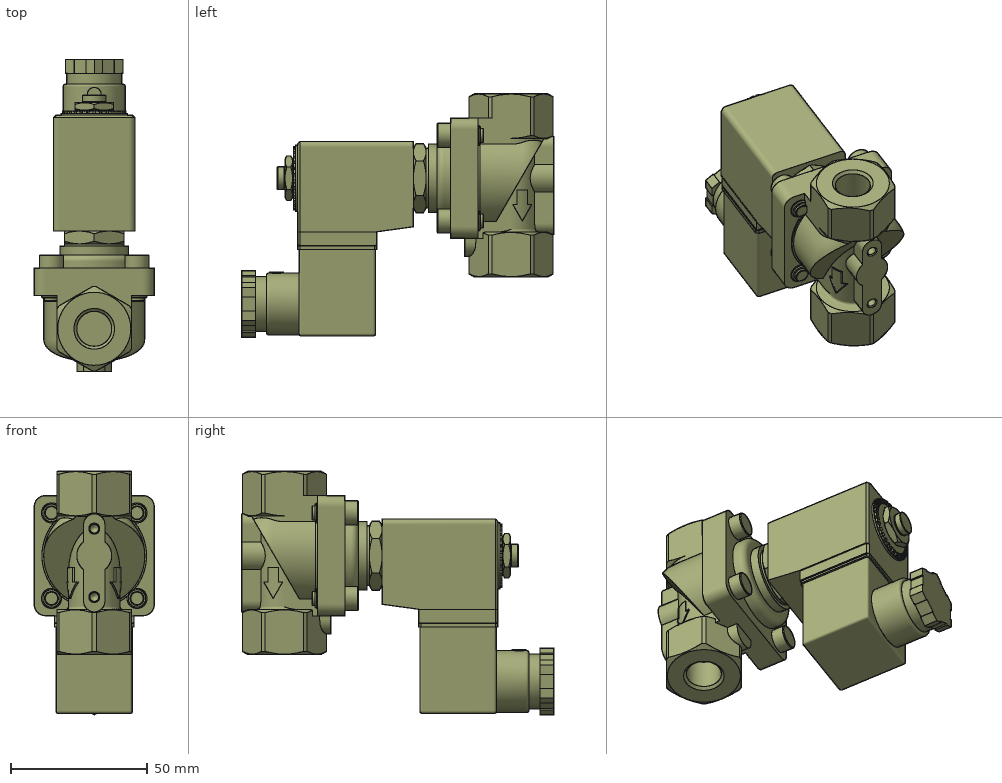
import cadquery as cq
import math


port_center_z = -2.6
port_half_length = 33.6
port_hex_height = 16.6
port_flats = 27.5
port_turned_diameter = 30.9
port_face_diameter = 26.8
port_bore_diameter = 12.8
port_mouth_diameter = 14.9
port_mouth_depth = 1.0
port_bore_depth = 13.7
port_top_z = port_center_z + port_half_length
port_bottom_z = port_center_z - port_half_length

flange_size = 44.0
flange_front_y = 12.1
flange_back_y = 22.2
flange_corner_radius = 4.1
screw_pitch = 31.3
screw_boss_diameter = 8.9
screw_boss_chamfer = 0.3
screw_seat_diameter = 7.3
screw_seat_height = 0.9
screw_seat_chamfer = 0.5
screw_tip_diameter = 5.0
screw_tip_height = 2.1
screw_tip_chamfer = 0.2
cover_diameter = 34.3
cover_back_y = 27.1
cover_fillet = 2.4

chamber_diameter = 37.0
chamber_front_y = -13.6
chamber_fillet = 9.1
lip_diameter = 38.3
lip_width = 0.7
slope_angle = 60.0
slope_y = -3.7
lower_pipe_width = 19.0
lower_pipe_fillet = 0.9
lug_radius = 5.0
lug_center_z = -23.7
lug_back_y = 17.0

strap_front_y = -15.7
strap_width = 7.8
strap_length = 35.9
strap_hub_diameter = 12.8
strap_hole_pitch = 25.0
strap_hole_diameter = 3.2
strap_hole_mouth = 4.0
strap_hole_depth = 4.6
drill_point_angle = 118.0
arrow_relief = 0.5
arrow_center_y = -4.1
arrow_top_z = -4.3
arrow_shoulder_z = -9.7
arrow_tip_z = -15.7
arrow_shaft_width = 3.9
arrow_head_width = 6.9

tube_collar_diameter = 25.2
tube_collar_back_y = 30.3
tube_neck_diameter = 22.0
tube_nut_flats = 22.0
tube_nut_front_y = 31.1

coil_width = 30.0
coil_front_y = 35.8
coil_back_y = 78.2
coil_top_z = 13.5
coil_bottom_z = -19.7
coil_nose_bottom_z = -17.8
coil_fillet = 2.2
coil_back_chamfer = 0.9
leg_width = 29.3
leg_front_y = 49.2
leg_bottom_z = -24.6

washer_diameter = 24.2
washer_plate_thickness = 0.7
washer_tooth_diameter = 23.3
washer_tooth_height = 0.8
washer_teeth = 30
washer_gap_width = 1.0
washer_gap_depth = 1.8
coil_nut_front_y = 80.0
coil_nut_back_y = 82.8
coil_nut_flats = 14.2
stud_diameter = 8.5
stud_neck_diameter = 8.0
stud_front_y = 83.2
stud_back_y = 85.6
stud_chamfer = 0.2

seam_height = 0.2
seam_inset = 0.3
gasket_bottom_z = -26.2
gasket_chamfer = 0.9
plug_width = 28.0
plug_front_y = 49.6
plug_back_y = 77.6
plug_bottom_z = -57.9
plug_fillet = 0.9
gland_z = -46.1
gland_diameter = 22.9
gland_back_y = 89.7
gland_fillet = 1.0
gland_neck_diameter = 20.2
gland_pad_diameter = 5.0
gland_pad_y = 85.9
gland_pad_height = 0.2
knob_flats = 21.2
knob_front_y = 93.5
knob_back_y = 98.7
knob_notch_width = 5.0
knob_notch_depth = 0.6

CHAMFER_SLOPE = math.tan(math.radians(30))


def cylinder_y(diameter, y_start, y_end, x=0, z=0):
    """Cylinder parallel to Y between two Y positions."""
    return cq.Workplane("XZ", origin=(x, y_start, z)).circle(diameter / 2).extrude(y_start - y_end)


def cylinder_z(diameter, z_start, z_end, y=0):
    """Cylinder parallel to Z, on the plane X = 0, between two Z positions."""
    return cq.Workplane("XY", origin=(0, y, z_start)).circle(diameter / 2).extrude(z_end - z_start)


def box_between(width, y_start, y_end, z_start, z_end):
    """Box centred on X = 0."""
    return cq.Workplane("XY").box(
        width, y_end - y_start, z_end - z_start, centered=(True, False, False)
    ).translate((0, y_start, z_start))


def hexagon_corner_diameter(flats):
    return flats / math.cos(math.pi / 6)


def chamfered_hex(flats, height, face_diameter, turned_diameter):
    """Hexagonal prism along Z with flats facing +/-X, turned round at the corners and both ends."""
    prism = cq.Workplane("XY").polygon(6, hexagon_corner_diameter(flats)).extrude(height)
    prism = prism.rotate((0, 0, 0), (0, 0, 1), 90)
    face_radius = face_diameter / 2
    turned_radius = turned_diameter / 2
    rise = (turned_radius - face_radius) * CHAMFER_SLOPE
    turned_profile = [
        (0, 0),
        (face_radius, 0),
        (turned_radius, rise),
        (turned_radius, height - rise),
        (face_radius, height),
        (0, height),
    ]
    turned = cq.Workplane("XZ").polyline(turned_profile).close().revolve(360, (0, 0), (0, 1))
    return prism.intersect(turned)


def nut_y(flats, y_start, y_end):
    """Nut on the coil axis, with flats facing +/-X."""
    nut = chamfered_hex(flats, y_end - y_start, flats, hexagon_corner_diameter(flats))
    return nut.rotate((0, 0, 0), (1, 0, 0), -90).translate((0, y_start, 0))


def screw_points():
    half = screw_pitch / 2
    return [(x, z) for x in (-half, half) for z in (-half, half)]


def port_hex(bottom_z):
    blank = chamfered_hex(port_flats, port_hex_height, port_face_diameter, port_turned_diameter)
    return blank.translate((0, 0, bottom_z))


def port_bore(face_z, inward):
    """Blind bore with a conical mouth; inward is the Z direction into the port."""
    mouth = cq.Solid.makeCone(
        port_mouth_diameter / 2,
        port_bore_diameter / 2,
        port_mouth_depth,
        cq.Vector(0, 0, face_z),
        cq.Vector(0, 0, inward),
    )
    return cylinder_z(port_bore_diameter, face_z, face_z + inward * port_bore_depth).add(mouth).combine()


def rounded_column(width, z_start, z_end):
    """Column that is round toward -Y and runs straight back to the flange."""
    straight = box_between(width, 0, flange_front_y, z_start, z_end)
    return cylinder_z(width, z_start, z_end).union(straight)


def chamber():
    """Round chamber with a domed front and the upper port neck, cut off by a sloping plane."""
    round_part = cylinder_y(chamber_diameter, chamber_front_y, flange_front_y)
    round_part = round_part.faces("<Y").edges().fillet(chamber_fillet)
    neck = rounded_column(port_flats, 0, flange_size / 2)
    slope_size = 4 * chamber_diameter
    below_slope = (
        cq.Workplane("XY")
        .box(slope_size, slope_size, slope_size, centered=(True, False, True))
        .translate((0, -slope_size, 0))
        .rotate((0, 0, 0), (1, 0, 0), 90 - slope_angle)
        .translate((0, slope_y, 0))
    )
    return round_part.union(neck).cut(below_slope)


def lower_pipe():
    """Pipe to the lower port, with a flared foot on the port hexagon."""
    hex_top_z = port_bottom_z + port_hex_height
    pipe = rounded_column(lower_pipe_width, -flange_size / 2, 0)
    radius = lower_pipe_width / 2
    foot = (
        cq.Workplane("XZ")
        .moveTo(0, hex_top_z)
        .lineTo(radius + lower_pipe_fillet, hex_top_z)
        .radiusArc((radius, hex_top_z + lower_pipe_fillet), lower_pipe_fillet)
        .lineTo(0, hex_top_z + lower_pipe_fillet)
        .close()
        .revolve(360, (0, 0), (0, 1))
    )
    upper_pipe = cylinder_z(lower_pipe_width, 0, port_top_z - port_hex_height)
    return pipe.union(foot).union(upper_pipe)


def flow_arrows():
    """Raised arrows on both sides of the lower pipe, pointing down."""
    shaft = arrow_shaft_width / 2
    head = arrow_head_width / 2
    outline = [
        (-shaft, arrow_top_z),
        (shaft, arrow_top_z),
        (shaft, arrow_shoulder_z),
        (head, arrow_shoulder_z),
        (0, arrow_tip_z),
        (-head, arrow_shoulder_z),
        (-shaft, arrow_shoulder_z),
    ]
    prism = (
        cq.Workplane("YZ", origin=(0, arrow_center_y, 0))
        .polyline(outline)
        .close()
        .extrude(lower_pipe_width, both=True)
    )
    return prism.intersect(cylinder_z(lower_pipe_width + 2 * arrow_relief, arrow_tip_z, arrow_top_z))


def mounting_strap():
    """Strap with a round hub on the front of the valve body, running back into the pipe."""
    strap = (
        cq.Workplane("XZ", origin=(0, strap_front_y, port_center_z))
        .slot2D(strap_length, strap_width, 90)
        .extrude(strap_front_y)
    )
    return strap.union(cylinder_y(strap_hub_diameter, strap_front_y, 0))


def strap_hole(z):
    """Blind tapped hole with a countersunk mouth and a drill point."""
    radius = strap_hole_diameter / 2
    mouth_radius = strap_hole_mouth / 2
    mouth_depth = mouth_radius - radius
    point_depth = radius / math.tan(math.radians(drill_point_angle / 2))
    profile = [
        (0, strap_front_y),
        (mouth_radius, strap_front_y),
        (radius, strap_front_y + mouth_depth),
        (radius, strap_front_y + strap_hole_depth),
        (0, strap_front_y + strap_hole_depth + point_depth),
    ]
    hole = cq.Workplane("XY").polyline(profile).close().revolve(360, (0, 0), (0, 1))
    return hole.translate((0, 0, z))


def flange():
    plate = (
        cq.Workplane("XZ", origin=(0, flange_front_y, 0))
        .rect(flange_size, flange_size)
        .extrude(flange_front_y - flange_back_y)
        .edges("|Y")
        .fillet(flange_corner_radius)
    )
    return plate.union(cylinder_y(lip_diameter, flange_front_y - lip_width, flange_front_y))


def lug():
    """Tongue below the flange with a round lower end."""
    straight = box_between(2 * lug_radius, 0, lug_back_y, lug_center_z, -flange_size / 2)
    return straight.union(cylinder_y(2 * lug_radius, 0, lug_back_y, z=lug_center_z))


def cover():
    """Domed cover with the screw bosses behind the flange and the screw ends in front of it."""
    body = cylinder_y(cover_diameter, flange_back_y, cover_back_y)
    body = body.faces(">Y").edges().fillet(cover_fillet)
    for x, z in screw_points():
        boss = cylinder_y(screw_boss_diameter, flange_back_y, cover_back_y, x, z)
        body = body.union(boss.faces(">Y").edges().chamfer(screw_boss_chamfer))
    return body


def screw_end(x, z):
    seat = cylinder_y(screw_seat_diameter, flange_front_y - screw_seat_height, flange_front_y, x, z)
    seat = seat.faces("<Y").edges().chamfer(screw_seat_chamfer)
    tip = cylinder_y(screw_tip_diameter, flange_front_y - screw_tip_height, flange_front_y, x, z)
    return seat.union(tip.faces("<Y").edges().chamfer(screw_tip_chamfer))


def armature_tube():
    """Collar, neck and hexagon between the cover and the coil."""
    collar = cylinder_y(tube_collar_diameter, cover_back_y, tube_collar_back_y)
    neck = cylinder_y(tube_neck_diameter, tube_collar_back_y, tube_nut_front_y)
    return collar.union(neck).union(nut_y(tube_nut_flats, tube_nut_front_y, coil_front_y))


def make_valve_body():
    body = chamber().union(lower_pipe()).union(flow_arrows())
    body = body.union(port_hex(port_top_z - port_hex_height)).union(port_hex(port_bottom_z))
    body = body.union(mounting_strap()).union(flange()).union(lug())
    body = body.union(cover()).union(armature_tube())
    for x, z in screw_points():
        body = body.union(screw_end(x, z))
    for side in (-1, 1):
        body = body.cut(strap_hole(port_center_z + side * strap_hole_pitch / 2))
    return body.cut(port_bore(port_top_z, -1)).cut(port_bore(port_bottom_z, 1))


def coil_housing():
    side_outline = [
        (coil_front_y, coil_top_z),
        (coil_back_y, coil_top_z),
        (coil_back_y, coil_bottom_z),
        (leg_front_y, coil_bottom_z),
        (coil_front_y, coil_nose_bottom_z),
    ]
    housing = cq.Workplane("YZ").polyline(side_outline).close().extrude(coil_width / 2, both=True)
    housing = housing.edges("|Y and >Z").fillet(coil_fillet)
    housing = housing.faces(">Y").edges("not <Z").chamfer(coil_back_chamfer)
    leg = box_between(leg_width, leg_front_y, coil_back_y, leg_bottom_z, coil_bottom_z)
    return housing.union(leg.edges("|Z and >Y").chamfer(coil_back_chamfer))


def toothed_washer():
    """Plain disc with a ring of teeth on its back face."""
    plate_back_y = coil_back_y + washer_plate_thickness
    teeth_back_y = plate_back_y + washer_tooth_height
    plate = cylinder_y(washer_diameter, coil_back_y, plate_back_y)
    teeth = cylinder_y(washer_tooth_diameter, plate_back_y, teeth_back_y)
    gap_top_z = washer_tooth_diameter / 2 + washer_gap_depth
    gap_bottom_z = washer_tooth_diameter / 2 - washer_gap_depth
    gap = box_between(washer_gap_width, plate_back_y, teeth_back_y, gap_bottom_z, gap_top_z)
    for tooth in range(washer_teeth):
        teeth = teeth.cut(gap.rotate((0, 0, 0), (0, 1, 0), tooth * 360 / washer_teeth))
    return plate.union(teeth)


def stud():
    neck = cylinder_y(stud_neck_diameter, coil_back_y, stud_front_y)
    head = cylinder_y(stud_diameter, stud_front_y, stud_back_y)
    return neck.union(head.faces(">Y").edges().chamfer(stud_chamfer))


def make_coil():
    coil_nut = nut_y(coil_nut_flats, coil_nut_front_y, coil_nut_back_y)
    return coil_housing().union(toothed_washer()).union(stud()).union(coil_nut)


def gasket():
    """Seal under the coil leg, with a narrow seam above it."""
    seam_bottom_z = leg_bottom_z - seam_height
    seal = box_between(leg_width, leg_front_y, coil_back_y, gasket_bottom_z, seam_bottom_z)
    seam = box_between(
        leg_width - 2 * seam_inset,
        leg_front_y + seam_inset,
        coil_back_y - coil_back_chamfer,
        seam_bottom_z,
        leg_bottom_z,
    )
    return seal.edges("|Z").chamfer(gasket_chamfer).union(seam)


def plug_housing():
    plug = box_between(plug_width, plug_front_y, plug_back_y, plug_bottom_z, gasket_bottom_z)
    return plug.edges("not >Z").fillet(plug_fillet)


def cable_gland():
    sleeve = cylinder_y(gland_diameter, plug_back_y, gland_back_y, z=gland_z)
    sleeve = sleeve.faces(">Y").edges().fillet(gland_fillet)
    neck = cylinder_y(gland_neck_diameter, gland_back_y, knob_front_y, z=gland_z)
    pad_top_z = gland_z + gland_diameter / 2 + gland_pad_height
    pad = cylinder_z(gland_pad_diameter, gland_z, pad_top_z, gland_pad_y)
    return sleeve.union(neck).union(pad)


def knob():
    """Hexagonal gland nut with a shallow notch in each side."""
    length = knob_back_y - knob_front_y
    nut = (
        cq.Workplane("XZ", origin=(0, knob_front_y, 0))
        .polygon(6, hexagon_corner_diameter(knob_flats))
        .extrude(-length)
        .rotate((0, 0, 0), (0, 1, 0), 90)
    )
    notch = (
        cq.Workplane("XY")
        .box(2 * knob_notch_depth, length, knob_notch_width)
        .translate((knob_flats / 2, knob_front_y + length / 2, 0))
    )
    for side in range(6):
        nut = nut.cut(notch.rotate((0, 0, 0), (0, 1, 0), side * 60))
    return nut.translate((0, 0, gland_z))


def make_connector():
    return gasket().union(plug_housing()).union(cable_gland()).union(knob())


valve_body = make_valve_body()
coil = make_coil()
connector = make_connector()

result = cq.Compound.makeCompound([body.solids().val() for body in (valve_body, coil, connector)])